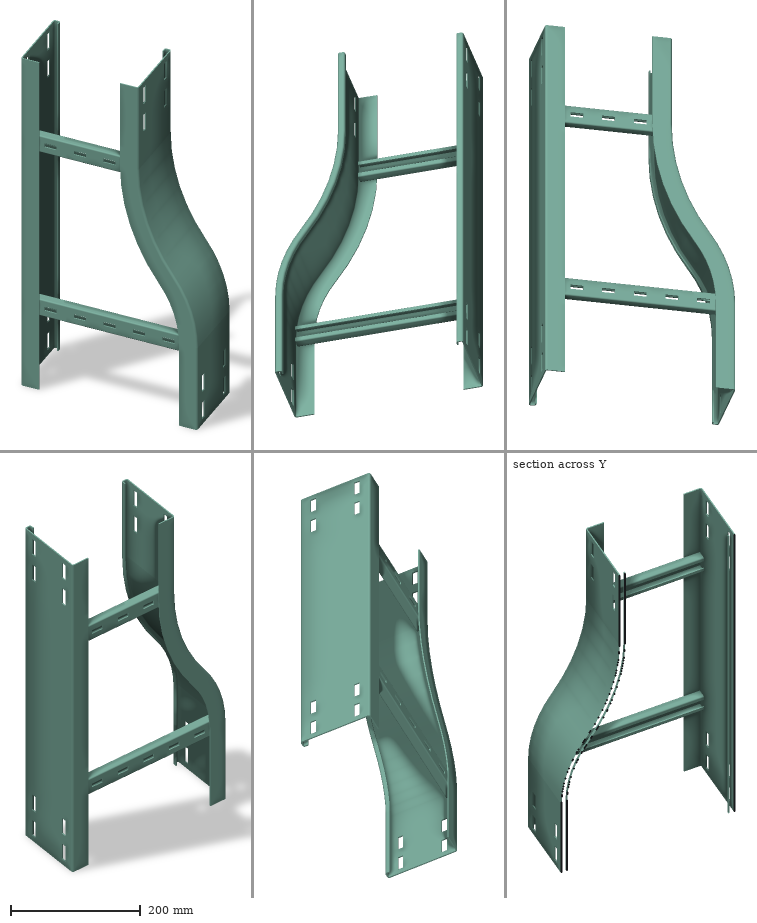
import cadquery as cq
import math

HEIGHT = 600.0
DEPTH = 120.0
WIDE_WIDTH = 300.0
NARROW_WIDTH = WIDE_WIDTH * 2 / 3

SHEET = 2.0
RAIL_BEND_RADIUS = 3.5
RUNG_BEND_RADIUS = 2.1
CUTTER_DEPTH = 4 * SHEET
MATCH_TOLERANCE = SHEET / 10

FLANGE_WIDTH = 31.0
LIP_WIDTH = 11.5
LIP_RETURN = 8.5

BEND_RISE = 300.0
BEND_START = (HEIGHT - BEND_RISE) / 2
BEND_END = BEND_START + BEND_RISE
UPPER_RADIUS = 300.0
BEND_SHIFT = WIDE_WIDTH - NARROW_WIDTH
BEND_ANGLE = 2 * math.atan(BEND_SHIFT / BEND_RISE)
LOWER_RADIUS = BEND_SHIFT / (1 - math.cos(BEND_ANGLE)) - UPPER_RADIUS

RAIL_SLOT_LENGTH = 30.0
RAIL_SLOT_WIDTH = 9.0
RAIL_SLOT_Y_SPACING = 75.0
RAIL_SLOT_END_DISTANCES = (25.0, 75.0)

RUNG_HEIGHT = 30.0
RUNG_DEPTH = 15.5
RUNG_LIP = 7.0
RUNG_END_GAP = 5.0
RUNG_SLOT_LENGTH = 20.5
RUNG_SLOT_WIDTH = 7.0
RUNG_SLOT_PITCH = WIDE_WIDTH / 6


def bent_section(outer, inner, bend_radius):
    """Face of a bent sheet; both paths run tip to tip and are rounded at every bend."""
    corners = [cq.Vector(x, y) for x, y in outer + inner[::-1]]
    face = cq.Face.makeFromWires(cq.Wire.makePolygon(corners, close=True))
    for path, radius in ((outer, bend_radius), (inner, bend_radius - SHEET)):
        bends = [cq.Vector(x, y) for x, y in path[1:-1]]
        picked = [v for v in face.Vertices() if any((v.Center() - b).Length < MATCH_TOLERANCE for b in bends)]
        face = face.fillet2D(radius, picked)
    return face


def rail_section():
    """Section of the left rail in the XY plane, with its web on X = 0."""
    outer = [
        (FLANGE_WIDTH, 0),
        (0, 0),
        (0, DEPTH),
        (LIP_WIDTH, DEPTH),
        (LIP_WIDTH, DEPTH - LIP_RETURN),
    ]
    inner = [
        (FLANGE_WIDTH, SHEET),
        (SHEET, SHEET),
        (SHEET, DEPTH - SHEET),
        (LIP_WIDTH - SHEET, DEPTH - SHEET),
        (LIP_WIDTH - SHEET, DEPTH - LIP_RETURN),
    ]
    return bent_section(outer, inner, RAIL_BEND_RADIUS)


def rail_slots(web_x, end_z, direction):
    """Cutters for the slots at one rail end; direction points along Z into the rail."""
    centres = [
        cq.Vector(web_x, DEPTH / 2 + side * RAIL_SLOT_Y_SPACING / 2, end_z + direction * distance)
        for side in (-1, 1)
        for distance in RAIL_SLOT_END_DISTANCES
    ]
    cutter = cq.Workplane("XY").box(CUTTER_DEPTH, RAIL_SLOT_WIDTH, RAIL_SLOT_LENGTH).val()
    return cq.Workplane("XY").newObject([cutter.moved(cq.Location(c)) for c in centres]).combine()


def left_rail():
    rail = cq.Workplane("XY").newObject([cq.Solid.extrudeLinear(rail_section(), cq.Vector(0, 0, HEIGHT))])
    return rail.cut(rail_slots(0, 0, 1)).cut(rail_slots(0, HEIGHT, -1))


def right_rail_path():
    """Path of the web's outer face: straight, two tangent arcs, straight."""
    lower_centre_x = WIDE_WIDTH - LOWER_RADIUS
    upper_centre_x = NARROW_WIDTH + UPPER_RADIUS

    def lower_arc(angle):
        return (lower_centre_x + LOWER_RADIUS * math.cos(angle), BEND_START + LOWER_RADIUS * math.sin(angle))

    def upper_arc(angle):
        return (upper_centre_x - UPPER_RADIUS * math.cos(angle), BEND_END - UPPER_RADIUS * math.sin(angle))

    return (
        cq.Workplane("XZ")
        .moveTo(WIDE_WIDTH, 0)
        .lineTo(WIDE_WIDTH, BEND_START)
        .threePointArc(lower_arc(BEND_ANGLE / 2), lower_arc(BEND_ANGLE))
        .threePointArc(upper_arc(BEND_ANGLE / 2), (NARROW_WIDTH, BEND_END))
        .lineTo(NARROW_WIDTH, HEIGHT)
        .wire()
    )


def right_rail():
    section = rail_section().mirror("YZ").moved(cq.Location(cq.Vector(WIDE_WIDTH, 0, 0)))
    outline = cq.Workplane("XY").newObject([section.outerWire()]).toPending()
    rail = outline.sweep(right_rail_path())
    return rail.cut(rail_slots(WIDE_WIDTH, 0, 1)).cut(rail_slots(NARROW_WIDTH, HEIGHT, -1))


def rung(width, centre_z):
    """Channel lying on the rails' front flanges, open to the back, for a given ladder width."""
    half = RUNG_HEIGHT / 2
    outer = [
        (RUNG_DEPTH, RUNG_LIP - half),
        (RUNG_DEPTH, -half),
        (0, -half),
        (0, half),
        (RUNG_DEPTH, half),
        (RUNG_DEPTH, half - RUNG_LIP),
    ]
    inner = [
        (RUNG_DEPTH - SHEET, RUNG_LIP - half),
        (RUNG_DEPTH - SHEET, SHEET - half),
        (SHEET, SHEET - half),
        (SHEET, half - SHEET),
        (RUNG_DEPTH - SHEET, half - SHEET),
        (RUNG_DEPTH - SHEET, half - RUNG_LIP),
    ]
    length = width - 2 * RUNG_END_GAP
    across = cq.Plane(origin=(RUNG_END_GAP, SHEET, centre_z), xDir=(0, 1, 0), normal=(1, 0, 0))
    section = bent_section(outer, inner, RUNG_BEND_RADIUS).moved(cq.Location(across))
    channel = cq.Workplane("XY").newObject([cq.Solid.extrudeLinear(section, cq.Vector(length, 0, 0))])

    slot_count = round(width / RUNG_SLOT_PITCH) - 1
    first_slot_x = width / 2 - (slot_count - 1) / 2 * RUNG_SLOT_PITCH
    for index in range(slot_count):
        slot = cq.Workplane("XY").box(RUNG_SLOT_LENGTH, CUTTER_DEPTH, RUNG_SLOT_WIDTH)
        channel = channel.cut(slot.translate((first_slot_x + index * RUNG_SLOT_PITCH, SHEET, centre_z)))
    return channel


rungs = [rung(width, z) for width, z in ((WIDE_WIDTH, BEND_START), (NARROW_WIDTH, BEND_END))]

result = cq.Compound.makeCompound([left_rail().val(), right_rail().val(), *[r.val() for r in rungs]])